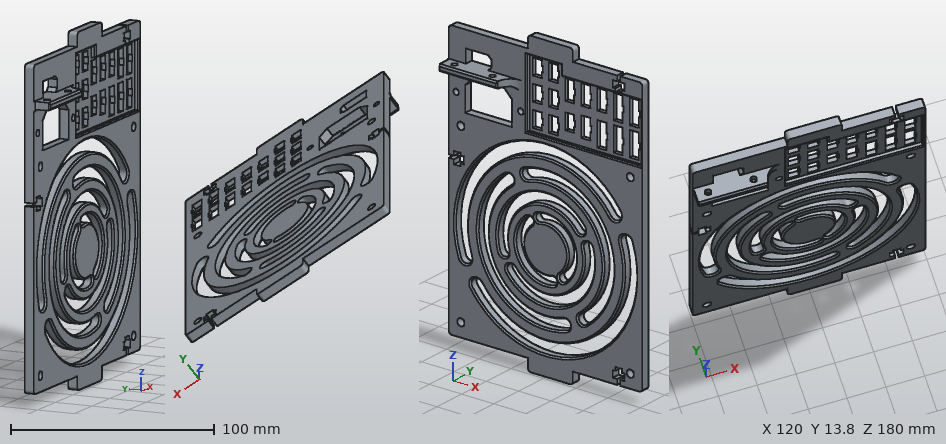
import cadquery as cq
import math

plate_width = 120.0
plate_height = 165.5
plate_thickness = 5.0
fan_axis_height = 60.75
corner_radius = 2.0
half_width = plate_width / 2
plate_bottom = -fan_axis_height
plate_top = plate_bottom + plate_height

tab_width = 28.0
tab_height = 7.25
tab_center_x = 3.0

fan_hole_diameter = 4.4
fan_hole_spacing = 105.0

grille_rings = (
    (52.5, 7.2, 163.6),
    (39.0, 6.0, 161.9),
    (27.0, 5.9, 159.1),
    (16.4, 4.7, 156.1),
)
grille_tilt = 27.0
grille_chamfer = 0.9

slit_width = 1.8
slit_length = 3.2
nut_width = 7.2
nut_length = 4.0
screw_tip_width = 4.2
screw_tip_length = 2.1
edge_nut_slot_x = 45.25
side_nut_slot_z = 34.4

socket_x = -35.4
socket_z = 69.9
socket_width = 29.0
socket_height = 19.6
socket_corner = 4.7
socket_hole_diameter = 3.4
socket_hole_spacing = 40.0

window_left = -49.4
window_width = 15.8
window_top = 94.7
window_corner = 2.0

shelf_left = -59.5
shelf_right = -23.5
shelf_top = 86.55
shelf_thickness = 4.0
shelf_depth = 8.8
shelf_tip_chamfer = 1.0
shelf_tip_side_chamfer = 0.5
shelf_root_radius = 2.0
shelf_flare_radius = 8.0
shelf_hole_diameter = 3.2
shelf_hole_spacing = 23.5
shelf_hole_distance = 4.0

recess_left = -12.5
recess_right = 59.4
recess_step_x = 10.3
recess_bottom = 59.1
recess_top = 102.0
recess_step_z = 95.8
recess_depth = plate_thickness / 2
recess_chamfer = 0.7
recess_chamfer_angle = 45

connector_first_left = -9.8
connector_pitch = 10.0
connector_width = 5.5
key_depth = 0.6
key_height = 3.3
short_opening = 9.6
medium_opening = 12.1
long_opening = 14.7
three_row_centers = (94.5, 80.5, 66.5)
upper_row_top = 93.5
lower_row_top = 76.3
short_lower_center = 70.5


def front_sketch():
    """Sketch plane on the front face; a negative extrusion goes into the plate."""
    return cq.Workplane("XZ")


def through(sketch):
    return sketch.extrude(-plate_thickness)


def fillet_mid_offset(radius):
    """Distance along each leg from a right-angled corner to the middle of its fillet arc."""
    return radius * (1 - math.sqrt(0.5))


def box(x_min, x_max, z_min, z_max):
    """Block through the plate thickness."""
    size = (x_max - x_min, plate_thickness, z_max - z_min)
    return cq.Workplane("XY").box(*size, centered=False).translate((x_min, 0, z_min))


def plate():
    body = box(-half_width, half_width, plate_bottom, plate_top)
    tabs = box(
        tab_center_x - tab_width / 2,
        tab_center_x + tab_width / 2,
        plate_bottom - tab_height,
        plate_top + tab_height,
    )
    return body.edges("|Y").fillet(corner_radius).union(tabs.edges("|Y").fillet(corner_radius))


def fan_holes():
    sketch = front_sketch().rect(fan_hole_spacing, fan_hole_spacing, forConstruction=True)
    return through(sketch.vertices().circle(fan_hole_diameter / 2))


def slot_half_section(width):
    """Half of the slot cross-section, from its center line to its chamfered wall."""
    half = width / 2
    return (
        (half + grille_chamfer, 0),
        (half, grille_chamfer),
        (half, plate_thickness),
    )


def grille_slot(radius, width, span, start_angle):
    """Chamfered slot that follows a circle around the fan axis, with round ends."""
    half_section = slot_half_section(width)
    outer_wall = [(radius + x, y) for x, y in half_section]
    inner_wall = [(radius - x, y) for x, y in reversed(half_section)]
    arc = cq.Workplane("XY").polyline(outer_wall + inner_wall).close().revolve(span, (0, 0), (0, -1))
    round_end = (
        cq.Workplane("XY")
        .polyline([(0, 0), *half_section, (0, plate_thickness)])
        .close()
        .revolve(360, (0, 0), (0, 1))
        .translate((radius, 0, 0))
    )
    far_end = round_end.rotate((0, 0, 0), (0, -1, 0), span)
    return arc.union(round_end).union(far_end).rotate((0, 0, 0), (0, -1, 0), start_angle)


def grille_slots():
    """Two opposite slots per ring, each ring turned a quarter from the one before."""
    slots = []
    for index, (radius, width, span) in enumerate(grille_rings):
        first_middle = grille_tilt + 90 * (index + 1)
        for middle in (first_middle, first_middle + 180):
            slots.append(grille_slot(radius, width, span, middle - span / 2))
    return slots


def nut_slot():
    """Slot entering the plate upward from (0, 0): slit, nut pocket, then screw tip clearance."""
    nut_start = slit_length
    tip_start = nut_start + nut_length
    return (
        box(-slit_width / 2, slit_width / 2, 0, nut_start)
        .union(box(-nut_width / 2, nut_width / 2, nut_start, tip_start))
        .union(box(-screw_tip_width / 2, screw_tip_width / 2, tip_start, tip_start + screw_tip_length))
    )


def nut_slots():
    slot = nut_slot()
    bottom = slot.translate((edge_nut_slot_x, 0, plate_bottom))
    top = slot.rotate((0, 0, 0), (0, 1, 0), 180).translate((edge_nut_slot_x, 0, plate_top))
    side = slot.rotate((0, 0, 0), (0, 1, 0), 90).translate((-half_width, 0, side_nut_slot_z))
    return [bottom, top, side]


def socket_opening():
    """Opening with its two upper corners cut off."""
    left = socket_x - socket_width / 2
    right = socket_x + socket_width / 2
    bottom = socket_z - socket_height / 2
    top = socket_z + socket_height / 2
    return box(left, right, bottom, top).edges("|Y and >Z").chamfer(socket_corner)


def socket_holes():
    sketch = front_sketch().center(socket_x, socket_z)
    ends = sketch.rarray(socket_hole_spacing, 1, 2, 1)
    return through(ends.circle(socket_hole_diameter / 2))


def window():
    """Opening that stands on the shelf, with its two right corners cut off."""
    opening = box(window_left, window_left + window_width, shelf_top, window_top)
    return opening.edges("|Y and >X").chamfer(window_corner)


def shelf_side_profile():
    """Shelf seen along X: flat top, rounded root below, chamfered tip."""
    underside = shelf_top - shelf_thickness
    tip = -shelf_depth
    chamfer_start = tip + shelf_tip_chamfer
    root_offset = fillet_mid_offset(shelf_root_radius)
    return (
        cq.Workplane("YZ", origin=(-half_width, 0, 0))
        .moveTo(0, shelf_top)
        .lineTo(chamfer_start, shelf_top)
        .lineTo(tip, shelf_top - shelf_tip_chamfer)
        .lineTo(tip, underside + shelf_tip_chamfer)
        .lineTo(chamfer_start, underside)
        .lineTo(-shelf_root_radius, underside)
        .threePointArc((-root_offset, underside - root_offset), (0, underside - shelf_root_radius))
        .close()
        .extrude(plate_width)
    )


def root_fillet(corner_x, radius, direction):
    """Upright concave fillet between a shelf end and the plate; direction is its X sense."""
    mid_offset = fillet_mid_offset(radius)
    plate_end_x = corner_x + direction * radius
    return (
        cq.Workplane("XY")
        .moveTo(corner_x, 0)
        .lineTo(corner_x, -radius)
        .threePointArc((corner_x + direction * mid_offset, -mid_offset), (plate_end_x, 0))
        .close()
        .extrude(plate_height)
    )


def shelf_plan():
    """Shelf outline from above: chamfered tip, small fillet on the left, wide flare on the right."""
    tip = -shelf_depth
    chamfer_start = tip + shelf_tip_chamfer
    outline = [
        (shelf_left, 0),
        (shelf_left, chamfer_start),
        (shelf_left + shelf_tip_side_chamfer, tip),
        (shelf_right - shelf_tip_side_chamfer, tip),
        (shelf_right, chamfer_start),
        (shelf_right, 0),
    ]
    return (
        cq.Workplane("XY")
        .polyline(outline)
        .close()
        .extrude(plate_height)
        .union(root_fillet(shelf_left, shelf_root_radius, -1))
        .union(root_fillet(shelf_right, shelf_flare_radius, 1))
    )


def shelf():
    """Shelf with two screw holes; its left fillet is cut off at the plate edge."""
    holes = (
        cq.Workplane("XY")
        .center((shelf_left + shelf_right) / 2, -shelf_hole_distance)
        .rarray(shelf_hole_spacing, 1, 2, 1)
        .circle(shelf_hole_diameter / 2)
        .extrude(plate_height)
    )
    return shelf_side_profile().intersect(shelf_plan()).cut(holes)


def connector_recess():
    """Stepped recess whose rim is chamfered all round."""
    rim = [
        (recess_left, recess_bottom),
        (recess_right, recess_bottom),
        (recess_right, recess_step_z),
        (recess_step_x, recess_step_z),
        (recess_step_x, recess_top),
        (recess_left, recess_top),
    ]
    chamfer = front_sketch().polyline(rim).close().extrude(-recess_chamfer, taper=recess_chamfer_angle)
    pocket = front_sketch().polyline(rim).close().offset2D(-recess_chamfer).extrude(-recess_depth)
    return chamfer.union(pocket)


def connector_opening(column, center_z, height):
    """Rectangular opening with a centered key notch on its right side."""
    left = connector_first_left + column * connector_pitch
    right = left + connector_width
    opening = box(left, right, center_z - height / 2, center_z + height / 2)
    key = box(left, right + key_depth, center_z - key_height / 2, center_z + key_height / 2)
    return opening.union(key)


def connector_openings():
    openings = []
    for column in (0, 1):
        for center_z in three_row_centers:
            openings.append(connector_opening(column, center_z, short_opening))
    for column in (2, 3, 4):
        openings.append(connector_opening(column, upper_row_top - medium_opening / 2, medium_opening))
    for column in (5, 6):
        openings.append(connector_opening(column, upper_row_top - long_opening / 2, long_opening))
    openings.append(connector_opening(2, short_lower_center, short_opening))
    openings.append(connector_opening(3, lower_row_top - medium_opening / 2, medium_opening))
    for column in (4, 5, 6):
        openings.append(connector_opening(column, lower_row_top - long_opening / 2, long_opening))
    return openings


cutters = [
    fan_holes(),
    socket_opening(),
    socket_holes(),
    window(),
    connector_recess(),
    *connector_openings(),
    *nut_slots(),
    *grille_slots(),
]

result = plate()
for cutter in cutters:
    result = result.cut(cutter)
result = result.union(shelf())